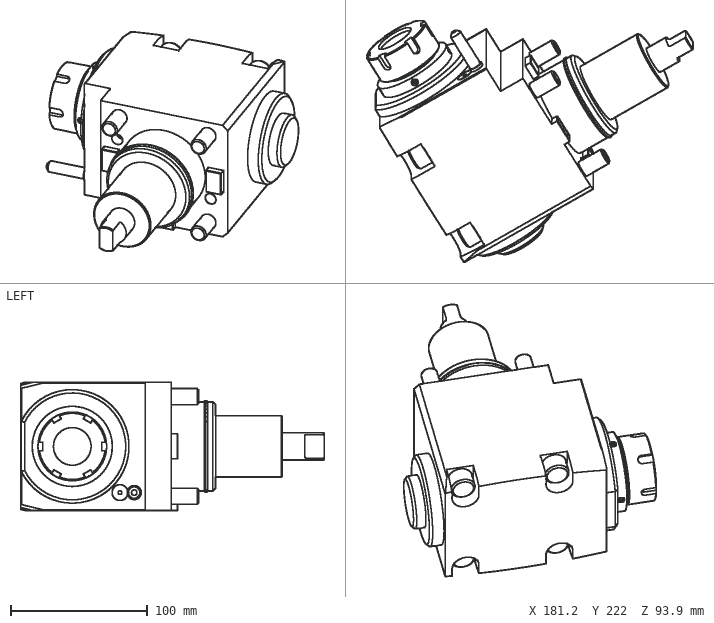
import cadquery as cq
import math


half_height = 46.95
block_left = -70.5
block_right = 50.5
block_back = 37.7
block_front = -72.4
step_x = -50.0
step_y = -53.3
right_chamfer = 4.0
left_chamfer = 0.7
relief_radius = 144.3
relief_x = -5.5
relief_setback = 3.5
relief_angle = 15.0

flange_radius = 41.5
flange_front = -79.3
flange_flat_y = 37.3
flange_chamfer = 2.5
collar_radius = 29.3
collar_front = -87.2
neck_radius = 20.2
collar_hole_x = -83.0
collar_hole_radius = 2.5
collar_hole_depth = 1.3
collar_pilot_radius = 1.0
collar_pilot_depth = 3.5

nut_radius = 25.0
nut_front = -111.5
nut_back = -89.5
nut_edge = 0.7
nut_face_radius = 18.2
nut_cone_radius = 24.2
nut_cone_length = 1.0
nut_recess_radius = 13.8
nut_recess_depth = 2.7
nut_slot_count = 6
nut_slot_width = 6.2
nut_slot_length = 12.5
nut_slot_floor = 21.5

cover_radius = 34.0
cover_end = 60.8
cover_chamfer = 2.0
cap_radius = 19.5
cap_end = 69.7
cap_chamfer = 2.0

boss_radius = 32.6
boss_length = 32.5
boss_chamfer = 2.0
seal_distance = 25.3
seal_radius = 1.3
seal_bulge = 0.9
shank_radius = 22.53
shank_length = 48.8
shank_chamfer = 0.9
drive_radius = 10.1
drive_length = 30.6
drive_chamfer = 0.7
tang_length = 14.2
tang_thickness = 10.7
tang_fillet = 1.0

screw_x = 35.0
screw_z = 36.5
screw_radius = 6.0
screw_length = 20.0
screw_chamfer = 1.0
head_radius = 9.0
head_chamfer = 1.3
pocket_radius = 10.0
pocket_depth = 20.2
head_height = 12.5

key_width = 18.2
key_thickness = 12.0
key_height = 4.9
key_chamfer = 0.5
side_key_x = 41.0
lower_key_z = -40.95

pin_y = -45.3
pin_z = -33.7
pin_radius = 4.2
pin_end = -103.0
pin_chamfer = 2.2
pin_collar_radius = 5.0
pin_collar_length = 2.0
plug_recess = 0.2
side_plug_y = -34.9
side_plug_radius = 5.8
side_plug_socket_radius = 1.3
side_plug_socket_depth = 2.2
locating_x = 36.9
locating_z = 17.0
locating_radius = 4.2
locating_depth = 8.9
drill_point_angle = 118.0


def rod_x(radius, start, end, y=0.0, z=0.0):
    """Cylinder parallel to X between two x positions."""
    return cq.Workplane("YZ", origin=(start, y, z)).circle(radius).extrude(end - start)


def rod_y(radius, start, end, x=0.0, z=0.0):
    """Cylinder parallel to Y, from y = start towards the smaller y = end."""
    return cq.Workplane("XZ", origin=(x, start, z)).circle(radius).extrude(start - end)


def make_block():
    outline = [
        (block_left, block_back),
        (block_right, block_back),
        (block_right, block_front),
        (step_x, block_front),
        (step_x, step_y),
        (block_left, step_y),
    ]
    block = (
        cq.Workplane("XY", origin=(0, 0, -half_height))
        .polyline(outline).close()
        .extrude(2 * half_height)
    )
    block = block.faces(">X").edges("|Y").chamfer(right_chamfer)
    block = block.faces("<X").edges("|Y or >Y").chamfer(left_chamfer)

    middle_radius = relief_radius + half_height / math.tan(math.radians(relief_angle))
    double_cone = (
        cq.Workplane("XZ")
        .polyline([
            (0, -half_height),
            (relief_radius, -half_height),
            (middle_radius, 0),
            (relief_radius, half_height),
            (0, half_height),
        ])
        .close()
        .revolve(360, (0, 0, 0), (0, 1, 0))
        .translate((relief_x, block_back - relief_setback - relief_radius, 0))
    )
    return block.intersect(double_cone)


def make_spindle_nose():
    flange = rod_x(flange_radius, flange_front, block_left)
    beyond_flat = (
        cq.Workplane("XY")
        .box(2 * flange_radius, flange_radius, 2 * flange_radius, centered=(True, False, True))
        .translate((flange_front, flange_flat_y, 0))
    )
    flange = flange.cut(beyond_flat).faces("<X").edges().chamfer(flange_chamfer)

    collar = rod_x(collar_radius, collar_front, flange_front)
    for turn in range(4):
        hole = (
            cq.Workplane("XY", origin=(collar_hole_x, 0, collar_radius - collar_hole_depth))
            .circle(collar_hole_radius).extrude(collar_radius)
        )
        pilot = (
            cq.Workplane("XY", origin=(collar_hole_x, 0, collar_radius - collar_pilot_depth))
            .circle(collar_pilot_radius).extrude(collar_radius)
        )
        collar = collar.cut(hole.union(pilot).rotate((0, 0, 0), (1, 0, 0), 90 * turn))

    neck = rod_x(neck_radius, nut_back, collar_front)
    return flange.union(collar).union(neck)


def make_rear_cover():
    cover = rod_x(cover_radius, block_right, cover_end).faces(">X").chamfer(cover_chamfer)
    cap = rod_x(cap_radius, cover_end, cap_end).faces(">X").chamfer(cap_chamfer)
    return cover.union(cap)


def make_shank():
    boss_end = block_front - boss_length
    shank_end = boss_end - shank_length
    drive_end = shank_end - drive_length

    boss = rod_y(boss_radius, block_front, boss_end).faces("<Y").chamfer(boss_chamfer)
    seal = cq.Workplane(obj=cq.Solid.makeTorus(
        boss_radius + seal_bulge - seal_radius,
        seal_radius,
        cq.Vector(0, block_front - seal_distance, 0),
        cq.Vector(0, 1, 0),
    ))
    shank = rod_y(shank_radius, boss_end, shank_end).faces("<Y").chamfer(shank_chamfer)
    drive = rod_y(drive_radius, shank_end, drive_end).faces("<Y").chamfer(drive_chamfer)

    for side in (1, -1):
        flat = (
            cq.Workplane("XY")
            .box(drive_radius, tang_length, 2 * drive_radius, centered=(True, False, True))
            .translate((side * (tang_thickness + drive_radius) / 2, drive_end, 0))
        )
        inner_side = "<X" if side > 0 else ">X"
        flat = flat.faces(inner_side).edges(">Y").fillet(tang_fillet)
        drive = drive.cut(flat)
    return boss.union(seal).union(shank).union(drive)


def make_head_pocket(x, side):
    """Round screw pocket in the back, open to the top (side 1) or the bottom (side -1)."""
    pocket_floor = block_back - pocket_depth
    bore = rod_y(pocket_radius, block_back, pocket_floor, x, side * screw_z)
    opening = (
        cq.Workplane("XY")
        .box(2 * pocket_radius, pocket_depth, half_height, centered=(True, False, False))
        .translate((x, pocket_floor, screw_z if side > 0 else -screw_z - half_height))
    )
    return bore.union(opening)


def make_screw(x, side):
    head_seat = block_back - pocket_depth
    z = side * screw_z
    head = rod_y(head_radius, head_seat + head_height, head_seat, x, z)
    head = head.faces(">Y").chamfer(head_chamfer)
    tip = rod_y(screw_radius, head_seat, block_front - screw_length, x, z)
    return head.union(tip.faces("<Y").chamfer(screw_chamfer))


def make_key(x, z, size_x, size_z):
    key = (
        cq.Workplane("XZ", origin=(x, block_front, z))
        .rect(size_x, size_z).extrude(key_height)
    )
    return key.faces("<Y").chamfer(key_chamfer)


def make_coolant_pin():
    pin = rod_x(pin_radius, pin_end, block_left, pin_y, pin_z).faces("<X").chamfer(pin_chamfer)
    return pin.union(rod_x(pin_collar_radius, block_left - pin_collar_length, block_left, pin_y, pin_z))


def make_side_plug_recess():
    rim = rod_x(side_plug_radius, block_left, block_left + plug_recess, side_plug_y, pin_z)
    socket = rod_x(
        side_plug_socket_radius, block_left, block_left + side_plug_socket_depth, side_plug_y, pin_z
    )
    return rim.union(socket)


def make_locating_hole():
    """Drilled hole with a conical bottom, in the block front."""
    point_depth = locating_radius / math.tan(math.radians(drill_point_angle / 2))
    return (
        cq.Workplane("XY")
        .polyline([
            (0, block_front),
            (locating_radius, block_front),
            (locating_radius, block_front + locating_depth),
            (0, block_front + locating_depth + point_depth),
        ])
        .close()
        .revolve(360, (0, 0, 0), (0, 1, 0))
        .translate((-locating_x, 0, locating_z))
    )


def make_holder():
    holder = make_block()
    holder = holder.union(make_spindle_nose())
    holder = holder.union(make_rear_cover())
    holder = holder.union(make_shank())
    for x in (-screw_x, screw_x):
        for side in (1, -1):
            holder = holder.cut(make_head_pocket(x, side))
            holder = holder.union(make_screw(x, side))
    for x in (-side_key_x, side_key_x):
        holder = holder.union(make_key(x, 0, key_thickness, key_width))
    holder = holder.union(make_key(0, lower_key_z, key_width, key_thickness))
    holder = holder.union(make_coolant_pin())
    holder = holder.cut(make_side_plug_recess())
    holder = holder.cut(make_locating_hole())
    front_plug = rod_y(
        locating_radius, block_front + plug_recess, block_front, locating_x, -locating_z
    )
    return holder.cut(front_plug)


def make_nut():
    nut = (
        cq.Workplane("XY")
        .polyline([
            (nut_back, 0),
            (nut_back, nut_radius - nut_edge),
            (nut_back - nut_edge, nut_radius),
            (nut_front + nut_cone_length + nut_edge, nut_radius),
            (nut_front + nut_cone_length, nut_cone_radius),
            (nut_front, nut_face_radius),
            (nut_front, nut_recess_radius),
            (nut_front + nut_recess_depth, nut_recess_radius),
            (nut_front + nut_recess_depth, 0),
        ])
        .close()
        .revolve(360, (0, 0, 0), (1, 0, 0))
    )
    end_centre = nut_front + nut_slot_length - nut_slot_width / 2
    for index in range(nut_slot_count):
        slot = (
            cq.Workplane("XZ", origin=(0, -nut_slot_floor, 0))
            .moveTo(nut_front, -nut_slot_width / 2)
            .lineTo(end_centre, -nut_slot_width / 2)
            .threePointArc((nut_front + nut_slot_length, 0), (end_centre, nut_slot_width / 2))
            .lineTo(nut_front, nut_slot_width / 2)
            .close()
            .extrude(nut_radius)
        )
        nut = nut.cut(slot.rotate((0, 0, 0), (1, 0, 0), index * 360 / nut_slot_count))
    return nut


holder = make_holder()
nut = make_nut()
result = cq.Compound.makeCompound([holder.solids().val(), nut.solids().val()])